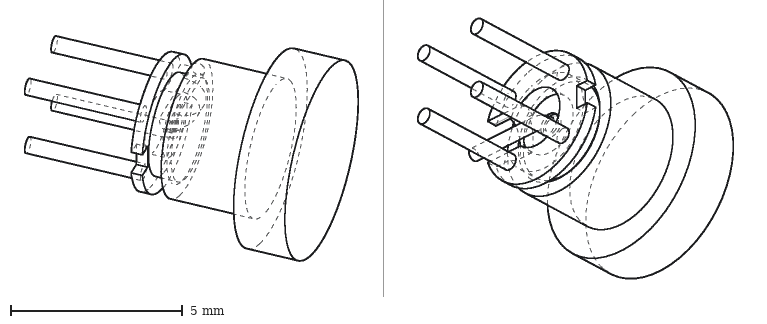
import cadquery as cq
import math


plate_radius = 2.1
plate_thickness = 0.35
slot_width = 1.4
notch_width = 0.76
notch_floor = 1.64

stem_radius = 1.56
barrel_radius = 2.1
flange_radius = 3.0
barrel_start = 0.95
barrel_length = 2.6
flange_length = 1.6
flange_start = barrel_start + barrel_length
flange_end = flange_start + flange_length
countersink_radius = 1.66
countersink_depth = countersink_radius - stem_radius
stem_end = barrel_start + countersink_depth

recess_radius = 0.95
recess_depth = 0.55
insulator_radius = 1.05
trough_radius = slot_width / 2
wire_axis_x = 0.24

pin_radius = 0.25
pin_length = 3.6
pin_pitch = 2.15

wire_radius = 0.21
wire_bend_radius = 0.25
wire_end_y = 2.84
wire_dome_height = 0.07
seal_radius = 0.36
seal_depth = 0.1
meniscus_radius = 0.1


def cylinder(radius, start, end):
    """Cylinder on the X axis between two X positions."""
    return cq.Workplane("YZ").workplane(offset=start).circle(radius).extrude(end - start)


def box(x_range, y_range, z_range):
    """Box given by its limits along each axis."""
    size = [limits[1] - limits[0] for limits in (x_range, y_range, z_range)]
    corner = (x_range[0], y_range[0], z_range[0])
    return cq.Workplane("XY").box(*size, centered=False).translate(corner)


def make_housing():
    """Flange and barrel, with the countersink that surrounds the stem."""
    flange = cylinder(flange_radius, flange_start, flange_end)
    barrel = cylinder(barrel_radius, barrel_start, flange_start)
    countersink = (
        cq.Workplane("YZ", origin=(barrel_start, 0, 0))
        .circle(countersink_radius)
        .workplane(offset=countersink_depth)
        .circle(stem_radius)
        .loft()
    )
    return barrel.cut(countersink).union(flange)


def make_header():
    """Plate and stem with the recess, wire slot, trough and locating notch."""
    plate = cylinder(plate_radius, 0, plate_thickness)
    stem = cylinder(stem_radius, 0, stem_end)
    recess = cylinder(recess_radius, 0, recess_depth)
    slot = box((0, wire_axis_x), (0, plate_radius), (-slot_width / 2, slot_width / 2))
    trough = (
        cq.Workplane("XZ", origin=(wire_axis_x, 0, 0))
        .circle(trough_radius)
        .extrude(-plate_radius)
    )
    notch = box(
        (0, plate_thickness),
        (-plate_radius, -notch_floor),
        (-notch_width / 2, notch_width / 2),
    )
    shell = plate.union(stem).cut(recess).cut(slot).cut(trough).cut(notch)
    insulator = cylinder(insulator_radius, recess_depth, stem_end)
    seal_recess = cylinder(seal_radius, recess_depth, recess_depth + seal_depth)
    return shell.union(insulator).cut(seal_recess)


def make_pins():
    """Four straight pins on a square pitch, standing out from the plate."""
    return (
        cq.Workplane("YZ")
        .rect(pin_pitch, pin_pitch, forConstruction=True)
        .vertices()
        .circle(pin_radius)
        .extrude(-pin_length)
    )


def make_wire():
    """Centre wire that leaves the insulator along -X and bends round to a domed tip at +Y."""
    shank_end_y = wire_end_y - wire_dome_height
    bend_centre_x = wire_axis_x + wire_bend_radius
    bend_offset = wire_bend_radius * math.sqrt(0.5)
    bend_middle = (bend_centre_x - bend_offset, wire_bend_radius - bend_offset)
    path = (
        cq.Workplane("XY")
        .moveTo(stem_end, 0)
        .lineTo(bend_centre_x, 0)
        .threePointArc(bend_middle, (wire_axis_x, wire_bend_radius))
        .lineTo(wire_axis_x, shank_end_y)
    )
    section = cq.Workplane("YZ", origin=(stem_end, 0, 0)).circle(wire_radius)
    dome_radius = (wire_radius**2 + wire_dome_height**2) / (2 * wire_dome_height)
    dome_ball = cq.Workplane("XY").sphere(dome_radius).translate((wire_axis_x, wire_end_y - dome_radius, 0))
    tip = (
        cq.Workplane("XZ", origin=(wire_axis_x, shank_end_y, 0))
        .circle(wire_radius)
        .extrude(-wire_dome_height)
        .intersect(dome_ball)
    )
    return section.sweep(path).union(tip)


def make_meniscus():
    """Concave fillet of the seal, climbing from the seal floor to the wire."""
    floor_x = recess_depth + seal_depth
    rim_radius = wire_radius + meniscus_radius
    bow = meniscus_radius * (1 - math.sqrt(0.5))
    profile = (
        cq.Workplane("XY")
        .moveTo(stem_end, 0)
        .lineTo(stem_end, rim_radius)
        .lineTo(floor_x, rim_radius)
        .threePointArc(
            (floor_x - bow, wire_radius + bow),
            (floor_x - meniscus_radius, wire_radius),
        )
        .lineTo(floor_x - meniscus_radius, 0)
        .close()
    )
    return profile.revolve(360, (0, 0, 0), (1, 0, 0))


result = make_housing().union(make_header()).union(make_pins()).union(make_meniscus()).union(make_wire())